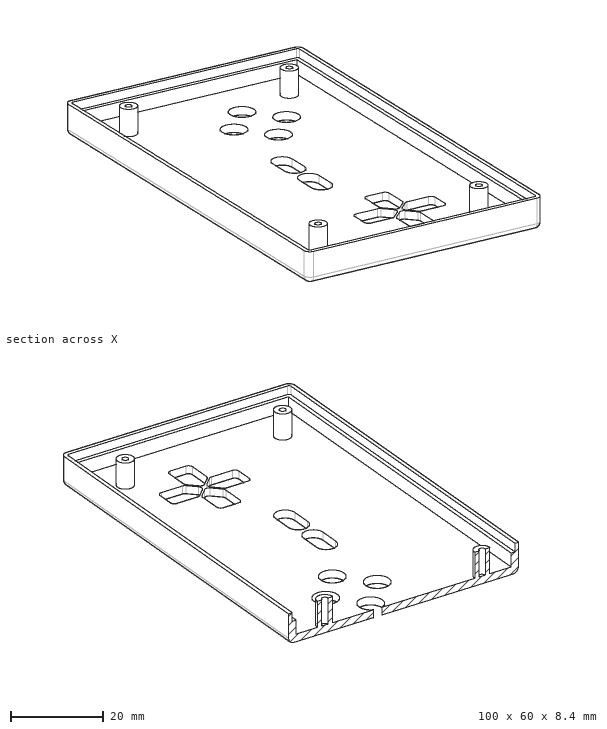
import cadquery as cq
import math

LENGTH = 100.0
WIDTH = 60.0
WALL_HEIGHT = 7.5
FLOOR = 2.0
WALL = 2.0
EDGE_RADIUS = 1.5

LIP_WALL = 1.0
LIP_DEPTH = 2.1
LIP_CORNER_RADIUS = EDGE_RADIUS - LIP_WALL

POST_HEIGHT = 8.4
POST_DIAMETER = 4.0
POST_HOLE_DIAMETER = 1.5
POST_SPACING_X = 78.0
POST_SPACING_Y = 41.0

CONTROL_X = 28.7
CONTROL_Y = 6.7

BUTTON_DIAMETER = 6.0
BUTTON_OFFSET_X = 7.5
BUTTON_OFFSET_Y = 6.7

SLOT_LENGTH = 10.0
SLOT_WIDTH = 5.0
SLOT_SPACING = 11.0
SLOT_Y = -0.5

PAD_SPAN = 20.5
PAD_ARM_WIDTH = 6.0
PAD_CORNER_RADIUS = 1.0
PAD_WEB_WIDTH = 0.5


def make_shell():
    """Open tray with rounded lower edges and a stepped rim."""
    body = (
        cq.Workplane("XY")
        .box(LENGTH, WIDTH, WALL_HEIGHT, centered=(True, True, False))
        .edges("|Z or <Z")
        .fillet(EDGE_RADIUS)
    )
    cavity = (
        cq.Workplane("XY")
        .workplane(offset=FLOOR)
        .rect(LENGTH - 2 * WALL, WIDTH - 2 * WALL)
        .extrude(WALL_HEIGHT - FLOOR)
    )
    rim_step = (
        cq.Workplane("XY")
        .workplane(offset=WALL_HEIGHT - LIP_DEPTH)
        .rect(LENGTH - 2 * LIP_WALL, WIDTH - 2 * LIP_WALL)
        .extrude(LIP_DEPTH)
        .edges("|Z")
        .fillet(LIP_CORNER_RADIUS)
    )
    return body.cut(cavity).cut(rim_step)


def make_posts():
    """Four hollow posts whose blind holes stop at the floor."""
    return (
        cq.Workplane("XY")
        .workplane(offset=FLOOR)
        .rect(POST_SPACING_X, POST_SPACING_Y, forConstruction=True)
        .vertices()
        .circle(POST_DIAMETER / 2)
        .circle(POST_HOLE_DIAMETER / 2)
        .extrude(POST_HEIGHT - FLOOR)
    )


def make_button_holes():
    """Four round openings in a diamond."""
    offsets = [
        (BUTTON_OFFSET_X, 0),
        (-BUTTON_OFFSET_X, 0),
        (0, BUTTON_OFFSET_Y),
        (0, -BUTTON_OFFSET_Y),
    ]
    return (
        cq.Workplane("XY")
        .center(-CONTROL_X, CONTROL_Y)
        .pushPoints(offsets)
        .circle(BUTTON_DIAMETER / 2)
        .extrude(FLOOR)
    )


def make_slots():
    """Two rounded slots side by side, end to end along X."""
    return (
        cq.Workplane("XY")
        .center(0, SLOT_Y)
        .pushPoints([(-SLOT_SPACING / 2, 0), (SLOT_SPACING / 2, 0)])
        .slot2D(SLOT_LENGTH, SLOT_WIDTH)
        .extrude(FLOOR)
    )


def make_pad_opening():
    """Four pointed arms in a cross, parted by diagonal webs and rounded at every corner."""
    half_width = PAD_ARM_WIDTH / 2
    tip = PAD_WEB_WIDTH / math.sqrt(2)
    shoulder = tip + half_width
    end = PAD_SPAN / 2
    arm = (
        cq.Workplane("XY")
        .polyline(
            [
                (tip, 0),
                (shoulder, half_width),
                (end, half_width),
                (end, -half_width),
                (shoulder, -half_width),
            ]
        )
        .close()
        .extrude(FLOOR)
        .edges("|Z")
        .fillet(PAD_CORNER_RADIUS)
    )
    opening = cq.Workplane("XY")
    for angle in (0, 90, 180, 270):
        opening = opening.add(arm.rotate((0, 0, 0), (0, 0, 1), angle))
    return opening.combine().translate((CONTROL_X, CONTROL_Y, 0))


result = (
    make_shell()
    .union(make_posts())
    .cut(make_button_holes())
    .cut(make_slots())
    .cut(make_pad_opening())
)